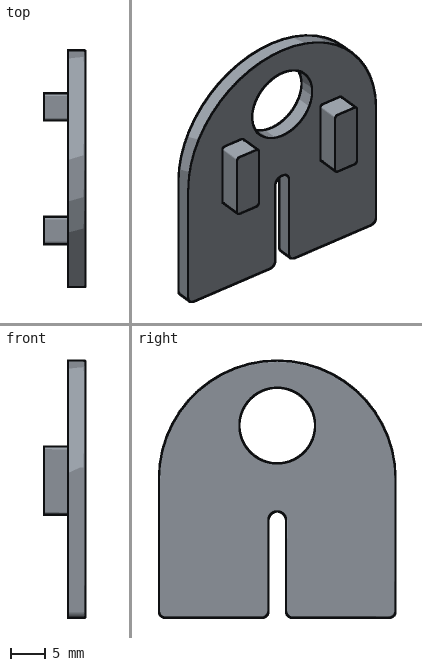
import cadquery as cq

height = 37.5
width = 34.5
thickness = 2.6
arch_radius = width / 2
arch_center_z = height - arch_radius
corner_radius = 1.0
rim_radius = 0.3

hole_diameter = 11.0
hole_center_z = 28.0

slot_width = 2.5
slot_top_z = 15.5
slot_mouth_radius = corner_radius

overall_depth = 6.1
peg_length = overall_depth - thickness
peg_width = 4.0
peg_height = 9.98
peg_spacing = 18.0
peg_bottom_z = 15.0
peg_corner_radius = 0.5


def make_plate():
    """Arched plate with its -X face at X = 0 and rounded lower corners."""
    blank = (
        cq.Workplane("YZ")
        .moveTo(-width / 2, 0)
        .lineTo(width / 2, 0)
        .lineTo(width / 2, arch_center_z)
        .threePointArc((0, height), (-width / 2, arch_center_z))
        .close()
        .extrude(thickness)
    )
    return blank.edges("|X and <Z").fillet(corner_radius)


def cut_slot(body):
    """Cut the slot with a half-round top and a mouth rounded outward."""
    half_slot = slot_width / 2
    half_mouth = half_slot + slot_mouth_radius
    slot = (
        cq.Workplane("YZ")
        .moveTo(half_mouth, 0)
        .radiusArc((half_slot, slot_mouth_radius), slot_mouth_radius)
        .lineTo(half_slot, slot_top_z - half_slot)
        .threePointArc((0, slot_top_z), (-half_slot, slot_top_z - half_slot))
        .lineTo(-half_slot, slot_mouth_radius)
        .radiusArc((-half_mouth, 0), slot_mouth_radius)
        .close()
        .extrude(thickness)
    )
    return body.cut(slot)


def round_rim(body):
    """Round the whole outline of the +X face, slot included."""
    return body.faces(">X").edges().fillet(rim_radius)


def cut_hole(body):
    hole = (
        cq.Workplane("YZ")
        .center(0, hole_center_z)
        .circle(hole_diameter / 2)
        .extrude(thickness)
    )
    return body.cut(hole)


def add_pegs(body):
    """Add one rounded rectangular peg on each side of the slot."""
    for side in (-1, 1):
        peg = (
            cq.Workplane("YZ")
            .center(side * peg_spacing / 2, peg_bottom_z + peg_height / 2)
            .rect(peg_width, peg_height)
            .extrude(-peg_length)
            .edges("|X")
            .fillet(peg_corner_radius)
        )
        body = body.union(peg)
    return body


plate = cut_hole(round_rim(cut_slot(make_plate())))
result = add_pegs(plate)